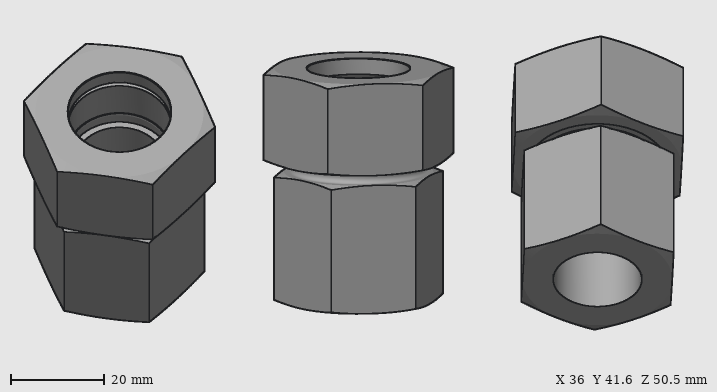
import cadquery as cq
import math

TOTAL_HEIGHT = 50.5
NUT_HEIGHT = 20.0
NUT_BOTTOM = TOTAL_HEIGHT - NUT_HEIGHT
BODY_HEX_HEIGHT = 28.0
BODY_TOP = 41.25

NUT_ACROSS_FLATS = 36.0
BODY_ACROSS_FLATS = 32.0
HEX_CHAMFER_ANGLE = 15.0

BORE_RADIUS = 19.0 / 2
TUBE_RADIUS = 22.0 / 2
NUT_HOLE_RADIUS = TUBE_RADIUS
NUT_HOLE_CHAMFER = 0.125
RING_RADIUS = 24.3 / 2
NECK_RADIUS = 27.0 / 2
THREAD_RADIUS = 30.0 / 2
NECK_FILLET = 1.25

SEAT_HALF_ANGLE = math.radians(12.0)
SEAT_BOTTOM = BODY_TOP - (RING_RADIUS - TUBE_RADIUS) / math.tan(SEAT_HALF_ANGLE)
SOCKET_DEPTH = 7.5
SOCKET_FLOOR = BODY_TOP - SOCKET_DEPTH

NUT_HOLE_DEPTH = 3.5
NUT_CONE_TOP = TOTAL_HEIGHT - NUT_HOLE_DEPTH
NUT_CONE_BOTTOM = NUT_CONE_TOP - (THREAD_RADIUS - NUT_HOLE_RADIUS)
RING_BOTTOM = 36.6
RING_TOP = NUT_CONE_TOP - (RING_RADIUS - NUT_HOLE_RADIUS)


def revolve_profile(profile):
    """Revolve a closed XZ profile (radius, height) about the Z axis."""
    return profile.close().revolve(360, (0, 0, 0), (0, 1, 0))


def chamfered_hexagon(across_flats, bottom, height):
    """Upright hexagon with corners on the Y axis, both ends turned to a cone."""
    flat_radius = across_flats / 2
    corner_radius = flat_radius / math.cos(math.radians(30))
    drop = (corner_radius - flat_radius) * math.tan(math.radians(HEX_CHAMFER_ANGLE))
    top = bottom + height
    prism = (
        cq.Workplane("XY", origin=(0, 0, bottom))
        .polygon(6, 2 * corner_radius)
        .extrude(height)
        .rotate((0, 0, 0), (0, 0, 1), 30)
    )
    envelope = revolve_profile(
        cq.Workplane("XZ")
        .moveTo(0, bottom)
        .lineTo(flat_radius, bottom)
        .lineTo(corner_radius, bottom + drop)
        .lineTo(corner_radius, top - drop)
        .lineTo(flat_radius, top)
        .lineTo(0, top)
    )
    return prism.intersect(envelope)


def make_body():
    """Hexagonal fitting body with a filleted neck, a spigot and a stepped bore."""
    hexagon = chamfered_hexagon(BODY_ACROSS_FLATS, 0, BODY_HEX_HEIGHT)
    fillet_sag = NECK_FILLET * (1 - math.sqrt(0.5))
    spigot = revolve_profile(
        cq.Workplane("XZ")
        .moveTo(0, BODY_HEX_HEIGHT)
        .lineTo(NECK_RADIUS + NECK_FILLET, BODY_HEX_HEIGHT)
        .threePointArc(
            (NECK_RADIUS + fillet_sag, BODY_HEX_HEIGHT + fillet_sag),
            (NECK_RADIUS, BODY_HEX_HEIGHT + NECK_FILLET),
        )
        .lineTo(NECK_RADIUS, NUT_BOTTOM)
        .lineTo(THREAD_RADIUS, NUT_BOTTOM)
        .lineTo(THREAD_RADIUS, BODY_TOP)
        .lineTo(0, BODY_TOP)
    )
    bore = revolve_profile(
        cq.Workplane("XZ")
        .moveTo(0, 0)
        .lineTo(BORE_RADIUS, 0)
        .lineTo(BORE_RADIUS, SOCKET_FLOOR)
        .lineTo(TUBE_RADIUS, SOCKET_FLOOR)
        .lineTo(TUBE_RADIUS, SEAT_BOTTOM)
        .lineTo(RING_RADIUS, BODY_TOP)
        .lineTo(0, BODY_TOP)
    )
    return hexagon.union(spigot).cut(bore)


def make_nut():
    """Hexagonal union nut with a wide bore narrowing through a cone to the chamfered top hole."""
    cavity = revolve_profile(
        cq.Workplane("XZ")
        .moveTo(0, NUT_BOTTOM)
        .lineTo(THREAD_RADIUS, NUT_BOTTOM)
        .lineTo(THREAD_RADIUS, NUT_CONE_BOTTOM)
        .lineTo(NUT_HOLE_RADIUS, NUT_CONE_TOP)
        .lineTo(NUT_HOLE_RADIUS, TOTAL_HEIGHT - NUT_HOLE_CHAMFER)
        .lineTo(NUT_HOLE_RADIUS + NUT_HOLE_CHAMFER, TOTAL_HEIGHT)
        .lineTo(0, TOTAL_HEIGHT)
    )
    return chamfered_hexagon(NUT_ACROSS_FLATS, NUT_BOTTOM, NUT_HEIGHT).cut(cavity)


def make_ring():
    """Cutting ring held between the tapered seat of the body and the cone of the nut."""
    bottom_radius = TUBE_RADIUS + (RING_BOTTOM - SEAT_BOTTOM) * math.tan(SEAT_HALF_ANGLE)
    return revolve_profile(
        cq.Workplane("XZ")
        .moveTo(TUBE_RADIUS, RING_BOTTOM)
        .lineTo(bottom_radius, RING_BOTTOM)
        .lineTo(RING_RADIUS, BODY_TOP)
        .lineTo(RING_RADIUS, RING_TOP)
        .lineTo(TUBE_RADIUS, RING_TOP)
    )


body = make_body()
nut = make_nut()
ring = make_ring()

result = cq.Compound.makeCompound([body.val(), nut.val(), ring.val()])